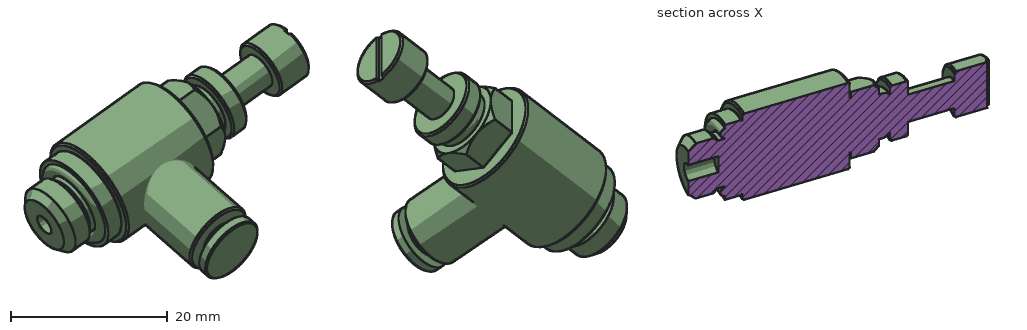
import cadquery as cq
import math


body_r = 7.5
body_half = 7.5
body_chamfer = 0.25

knob_top = 27.1
knob_len = 5.05
knob_r = 4.0
knob_chamfer = 0.25
slot_width = 0.85
slot_depth = 0.42
stem_r = 2.4
knob_base = knob_top - knob_len

nut_top = 15.65
nut_len = 2.57
nut_r = 4.8
nut_chamfer = 0.25
nut_base = nut_top - nut_len
neck_r = 3.9
neck_round_len = 1.0
neck_tip_r = 3.37

hex_flats = 10.05
hex_top = 11.6
washer_height = 0.13
washer_r = 4.75
hex_base = body_half + washer_height
hex_flat_r = hex_flats / 2
hex_corner_r = hex_flat_r / math.cos(math.pi / 6)

collar_r = 6.55
collar_base = -9.9
collar_chamfer = 0.15

seal_mean_r = 5.05
seal_tube_r = 0.9
seal_y = -9.7

spigot_end = -15.05
thread_r = 4.8
thread_chamfer = 1.05
relief_r = 4.17
relief_base = -10.9
port_r = 1.35
port_depth = 4.2

branch_r = 4.85
branch_end = 16.6
branch_chamfer = 0.25
branch_root_fillet = 0.2
sleeve_r = 2.6
flange_r = 4.5
flange_start = 17.87
flange_end = 19.18
flange_chamfer = 0.15
sleeve_flare = 0.2


def cylinder_y(radius, y_low, y_high):
    """Solid cylinder on the Y axis between two heights."""
    return cq.Workplane("XZ", origin=(0, y_high, 0)).circle(radius).extrude(y_high - y_low)


def cylinder_x(radius, x_low, x_high):
    """Solid cylinder on the X axis between two positions."""
    return cq.Workplane("YZ", origin=(x_low, 0, 0)).circle(radius).extrude(x_high - x_low)


def revolve_y(profile):
    """Turn a closed XY profile, with X as radius, about the Y axis."""
    return profile.close().revolve(360, (0, 0, 0), (0, 1, 0))


def body_with_branch():
    body = cylinder_y(body_r, -body_half, body_half).faces("<Y or >Y").chamfer(body_chamfer)
    branch = cylinder_x(branch_r, 0, branch_end).faces(">X").chamfer(branch_chamfer)
    root_reach = body_r + branch_root_fillet
    root = cq.selectors.BoxSelector((0, -branch_r, -branch_r), (root_reach, branch_r, branch_r))
    return body.union(branch).edges(root).fillet(branch_root_fillet)


def release_sleeve():
    sleeve = cylinder_x(sleeve_r, 0, flange_start)
    flange = cylinder_x(flange_r, flange_start, flange_end).faces(">X").chamfer(flange_chamfer)
    flare = (
        cq.Workplane("XY")
        .moveTo(flange_start - sleeve_flare, 0)
        .lineTo(flange_start - sleeve_flare, sleeve_r)
        .lineTo(flange_start, sleeve_r + sleeve_flare)
        .lineTo(flange_start, 0)
        .close()
        .revolve(360, (0, 0, 0), (1, 0, 0))
    )
    return sleeve.union(flange).union(flare)


def knob_and_stem():
    knob = cylinder_y(knob_r, knob_base, knob_top).faces("<Y or >Y").chamfer(knob_chamfer)
    slot = cq.Workplane("XY").box(slot_width, 2 * slot_depth, 2 * knob_r).translate((0, knob_top, 0))
    return knob.cut(slot).union(cylinder_y(stem_r, 0, knob_base))


def locknut_and_neck():
    nut = cylinder_y(nut_r, nut_base, nut_top).faces("<Y or >Y").chamfer(nut_chamfer)
    neck = revolve_y(
        cq.Workplane("XY")
        .lineTo(neck_r, 0)
        .lineTo(neck_r, nut_base - neck_round_len)
        .tangentArcPoint((neck_tip_r, nut_base), relative=False)
        .lineTo(0, nut_base)
    )
    return nut.union(neck)


def hexagon():
    prism = (
        cq.Workplane("XZ", origin=(0, hex_top, 0))
        .transformed(rotate=(0, 0, 90))
        .polygon(6, 2 * hex_corner_r)
        .extrude(hex_top - hex_base)
    )
    trim_size = hex_corner_r - hex_flat_r
    corner_trim = cylinder_y(hex_corner_r, hex_base, hex_top).faces(">Y").chamfer(trim_size)
    washer = cylinder_y(washer_r, 0, hex_base)
    return prism.intersect(corner_trim).union(washer)


def collar_and_seal():
    collar = cylinder_y(collar_r, collar_base, -body_half).faces(">Y").chamfer(collar_chamfer)
    seal = (
        cq.Workplane("XY")
        .center(seal_mean_r, seal_y)
        .circle(seal_tube_r)
        .revolve(360, (-seal_mean_r, 0, 0), (-seal_mean_r, 1, 0))
    )
    return collar.union(seal)


def threaded_spigot():
    thread_top = relief_base - (thread_r - relief_r)
    return revolve_y(
        cq.Workplane("XY")
        .lineTo(relief_r, 0)
        .lineTo(relief_r, relief_base)
        .lineTo(thread_r, thread_top)
        .lineTo(thread_r, spigot_end + thread_chamfer)
        .lineTo(thread_r - thread_chamfer, spigot_end)
        .lineTo(0, spigot_end)
    )


result = (
    body_with_branch()
    .union(release_sleeve())
    .union(knob_and_stem())
    .union(locknut_and_neck())
    .union(hexagon())
    .union(collar_and_seal())
    .union(threaded_spigot())
    .cut(cylinder_y(port_r, spigot_end, spigot_end + port_depth))
)